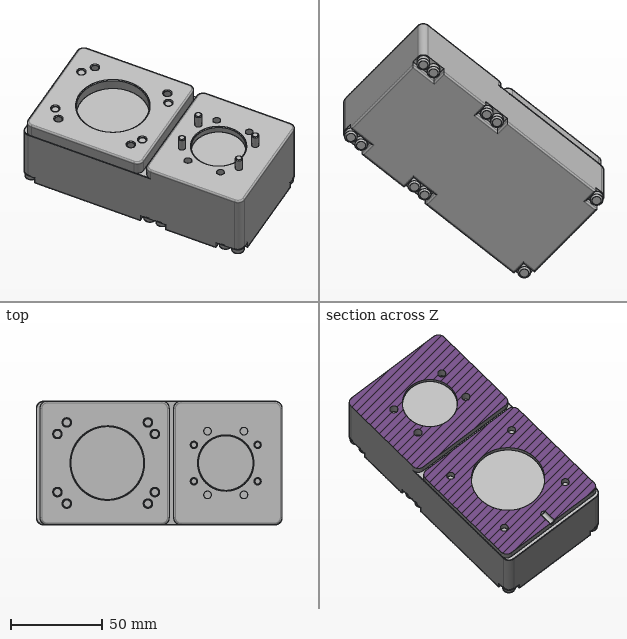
import cadquery as cq
import math

LENGTH = 135.0
WIDTH = 68.0
MID_Y = WIDTH / 2
LEDGE_Z = 36.0
DECK_Z = 42.0
CORNER_RADIUS = 4.0
TOP_EDGE_RADIUS = 1.0
BOTTOM_EDGE_RADIUS = 1.0
LEDGE_CHAMFER = 0.2

PLATE_START = 2.0
PLATE_END = 73.0
GROOVE_WIDTH = 2.4
DECK_START = PLATE_END + GROOVE_WIDTH
PLATE_TOP = 44.0

FOOT_DIAMETER = 7.0
FOOT_CHAMFER = 1.0
NOTCH_HEIGHT = 4.4
NOTCH_DEPTH = 8.0
NOTCH_SPANS = ((0.0, 8.0), (73.0, 88.5), (119.5, LENGTH))
FOOT_INSET = 4.0
FOOT_X = (FOOT_INSET, 77.0, 84.5, 123.5, LENGTH - FOOT_INSET)

RECESS_CHAMFER = 0.5
PLATE_CENTER_X = 39.0
PLATE_RECESS_DIAMETER = 40.0
PLATE_RECESS_DEPTH = 6.5
DECK_CENTER_X = 104.0
DECK_RECESS_DIAMETER = 30.0
DECK_RECESS_DEPTH = 4.0

THREAD_DIAMETER = 4.13
THREAD_MOUTH = 5.2
PLATE_BOLT_CIRCLE = 63.0
DEEP_HOLE_DEPTH = 8.0
SHALLOW_HOLE_DEPTH = 0.8
SHALLOW_HOLE_X = (11.6, 65.1)
SHALLOW_HOLE_SPREAD = 31.9

DECK_PATTERN_LONG = 17.5
DECK_PATTERN_SHORT = 10.0
DECK_HOLE_DIAMETER = 4.2
DECK_HOLE_DEPTH = 8.0
PIN_DIAMETER = 4.0
PIN_TOP = 49.8
PIN_CHAMFER = 0.5

SIDE_HOLE_DIAMETER = 3.24
SIDE_HOLE_MOUTH = 4.0
SIDE_HOLE_Z = 40.2
SIDE_HOLE_DEPTH = 8.0
DRILL_POINT_ANGLE = 118.0


def rounded_slab(x_start, x_end, z_bottom, z_top):
    """Full-width slab with rounded vertical corners."""
    slab = cq.Workplane("XY").box(x_end - x_start, WIDTH, z_top - z_bottom, centered=False)
    return slab.edges("|Z").fillet(CORNER_RADIUS).translate((x_start, 0, z_bottom))


def rod(diameter, z_bottom, z_top, x, y):
    """Vertical cylinder between two heights."""
    return cq.Workplane("XY", origin=(x, y, z_bottom)).circle(diameter / 2).extrude(z_top - z_bottom)


def cone(diameter, tip_diameter, depth, plane):
    """Cone along the plane normal, largest at the plane origin."""
    return cq.Workplane(cq.Solid.makeCone(diameter / 2, tip_diameter / 2, depth, plane.origin, plane.zDir))


def down(x, y, z):
    """Plane at a point, facing -Z."""
    return cq.Plane(origin=(x, y, z), xDir=(1, 0, 0), normal=(0, 0, -1))


def inward(x, y, z):
    """Plane at a point, facing +X."""
    return cq.Plane(origin=(x, y, z), xDir=(0, 1, 0), normal=(1, 0, 0))


def hole_tool(plane, diameter, depth, mouth):
    """Flat-bottomed hole with a 45 degree countersunk mouth."""
    drill = cq.Workplane(plane).circle(diameter / 2).extrude(depth)
    return drill.union(cone(mouth, diameter, (mouth - diameter) / 2, plane))


def mirrored_points(center_x, dx, dy):
    """Four points mirrored about a recess centre."""
    return [(center_x + sx * dx, MID_Y + sy * dy) for sx in (-1, 1) for sy in (-1, 1)]


def make_block():
    base = rounded_slab(0, LENGTH, 0, LEDGE_Z)
    base = base.faces(">Z").edges().chamfer(LEDGE_CHAMFER)
    for x_start, x_end in NOTCH_SPANS:
        for y_start in (0, WIDTH - NOTCH_DEPTH):
            notch = cq.Workplane("XY").box(x_end - x_start, NOTCH_DEPTH, NOTCH_HEIGHT, centered=False)
            base = base.cut(notch.translate((x_start, y_start, 0)))
    base = base.faces("<Z").edges().fillet(BOTTOM_EDGE_RADIUS)
    deck = rounded_slab(DECK_START, LENGTH, LEDGE_Z - LEDGE_CHAMFER, DECK_Z)
    deck = deck.faces(">Z").edges().fillet(TOP_EDGE_RADIUS)
    plate = rounded_slab(PLATE_START, PLATE_END, LEDGE_Z, PLATE_TOP)
    plate = plate.faces(">Z").edges().fillet(TOP_EDGE_RADIUS)
    return base.union(deck).union(plate)


def add_feet(body):
    for x in FOOT_X:
        for y in (FOOT_INSET, WIDTH - FOOT_INSET):
            foot = rod(FOOT_DIAMETER, 0, NOTCH_HEIGHT, x, y)
            body = body.union(foot.faces("<Z").chamfer(FOOT_CHAMFER))
    return body


def add_pins(body):
    for x, y in mirrored_points(DECK_CENTER_X, DECK_PATTERN_LONG, DECK_PATTERN_SHORT):
        pin = rod(PIN_DIAMETER, DECK_Z, PIN_TOP, x, y)
        body = body.union(pin.faces(">Z").chamfer(PIN_CHAMFER))
    return body


def recess_tool(center_x, top, diameter, depth):
    return hole_tool(down(center_x, MID_Y, top), diameter, depth, diameter + 2 * RECESS_CHAMFER)


def cut_recesses(body):
    body = body.cut(recess_tool(PLATE_CENTER_X, PLATE_TOP, PLATE_RECESS_DIAMETER, PLATE_RECESS_DEPTH))
    return body.cut(recess_tool(DECK_CENTER_X, DECK_Z, DECK_RECESS_DIAMETER, DECK_RECESS_DEPTH))


def cut_plate_holes(body):
    offset = PLATE_BOLT_CIRCLE / 2 / math.sqrt(2)
    for x, y in mirrored_points(PLATE_CENTER_X, offset, offset):
        body = body.cut(hole_tool(down(x, y, PLATE_TOP), THREAD_DIAMETER, DEEP_HOLE_DEPTH, THREAD_MOUTH))
    for x in SHALLOW_HOLE_X:
        for y in (MID_Y - SHALLOW_HOLE_SPREAD / 2, MID_Y + SHALLOW_HOLE_SPREAD / 2):
            body = body.cut(hole_tool(down(x, y, PLATE_TOP), THREAD_DIAMETER, SHALLOW_HOLE_DEPTH, THREAD_MOUTH))
    return body


def cut_deck_holes(body):
    for x, y in mirrored_points(DECK_CENTER_X, DECK_PATTERN_SHORT, DECK_PATTERN_LONG):
        body = body.cut(rod(DECK_HOLE_DIAMETER, DECK_Z - DECK_HOLE_DEPTH, DECK_Z, x, y))
    return body


def cut_side_hole(body):
    mouth_plane = inward(PLATE_START, MID_Y, SIDE_HOLE_Z)
    body = body.cut(hole_tool(mouth_plane, SIDE_HOLE_DIAMETER, SIDE_HOLE_DEPTH, SIDE_HOLE_MOUTH))
    point_plane = inward(PLATE_START + SIDE_HOLE_DEPTH, MID_Y, SIDE_HOLE_Z)
    point_length = SIDE_HOLE_DIAMETER / 2 / math.tan(math.radians(DRILL_POINT_ANGLE / 2))
    return body.cut(cone(SIDE_HOLE_DIAMETER, 0, point_length, point_plane))


result = make_block()
result = add_feet(result)
result = add_pins(result)
result = cut_recesses(result)
result = cut_plate_holes(result)
result = cut_deck_holes(result)
result = cut_side_hole(result)